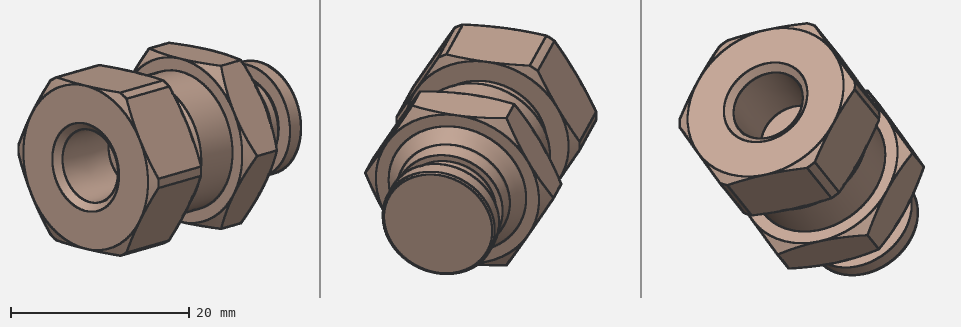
import cadquery as cq
import math


total_length = 28.9
across_flats = 19.0
across_corners = across_flats / math.cos(math.radians(30))

nut_end = 8.0
nut_corner_radius = 10.65
nut_chamfer_angle = 21.0

lock_nut_start = 15.65
lock_nut_end = 20.65
lock_nut_chamfer_angle = 30.0

neck_radius = 7.0
neck_end = 9.48
body_radius = 8.0
body_chamfer_end = 10.5

collar_radius = 6.53
shoulder_end = 22.22
collar_end = 22.72
collar_taper_end = 24.15
collar_tip_radius = 6.2
sleeve_radius = 5.45
sleeve_end = 26.0
groove_radius = 4.83
release_ring_start = 26.82
release_ring_radius = 6.53
release_ring_chamfer = 0.23

port_mouth_radius = 5.1
port_radius = 4.22
port_floor_radius = 4.0
port_countersink_depth = 0.75
port_taper_per_side = 1 / 32
port_depth = port_countersink_depth + (port_radius - port_floor_radius) / port_taper_per_side


def revolve_profile(points):
    """Turn a closed (radius, y) outline into a solid around the Y axis."""
    return cq.Workplane("XY").polyline(points).close().revolve(360, (0, 0, 0), (0, 1, 0))


def hexagon(start, end, outer_radius, chamfer_angle):
    """Hexagon with corners on X, trimmed to outer_radius and cone-chamfered at both ends."""
    prism = (
        cq.Workplane("XZ", origin=(0, start, 0))
        .polygon(6, across_corners)
        .extrude(start - end)
    )
    face_radius = across_flats / 2
    chamfer_depth = (outer_radius - face_radius) * math.tan(math.radians(chamfer_angle))
    envelope = revolve_profile([
        (0, start),
        (face_radius, start),
        (outer_radius, start + chamfer_depth),
        (outer_radius, end - chamfer_depth),
        (face_radius, end),
        (0, end),
    ])
    return prism.intersect(envelope)


def turned_core():
    """Neck, body and stepped tube end as one turned solid, starting inside the port nut."""
    return revolve_profile([
        (0, nut_end / 2),
        (neck_radius, nut_end / 2),
        (neck_radius, neck_end),
        (body_radius, body_chamfer_end),
        (body_radius, lock_nut_end),
        (collar_radius, shoulder_end),
        (collar_radius, collar_end),
        (collar_tip_radius, collar_taper_end),
        (sleeve_radius, collar_taper_end),
        (sleeve_radius, sleeve_end),
        (groove_radius, sleeve_end),
        (groove_radius, release_ring_start),
        (release_ring_radius, release_ring_start),
        (release_ring_radius, total_length - release_ring_chamfer),
        (release_ring_radius - release_ring_chamfer, total_length),
        (0, total_length),
    ])


def port_cavity():
    """Blind tapered bore with its countersink at the port face."""
    return revolve_profile([
        (0, 0),
        (port_mouth_radius, 0),
        (port_radius, port_countersink_depth),
        (port_floor_radius, port_depth),
        (0, port_depth),
    ])


port_nut = hexagon(0, nut_end, nut_corner_radius, nut_chamfer_angle)
lock_nut = hexagon(lock_nut_start, lock_nut_end, across_corners / 2, lock_nut_chamfer_angle)
result = turned_core().union(port_nut).union(lock_nut).cut(port_cavity())